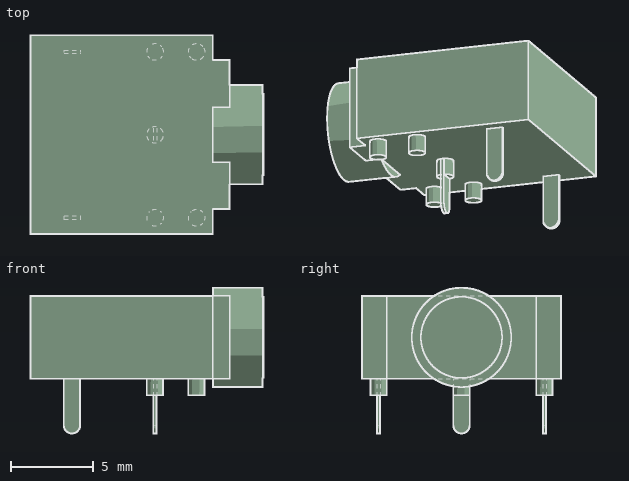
import cadquery as cq

housing_length = 11.0
housing_width = 12.0
housing_height = 5.0
step_length = 1.0
step_width = 9.0

bushing_diameter = 6.0
bushing_length = 3.0
bushing_axis_z = housing_height / 2
lip_diameter = 4.9
lip_length = 0.05

post_diameter = 1.0
post_length = 1.0
blade_width = 1.0
blade_thickness = 0.2
blade_length = 3.3

side_row_y = 5.0
rear_row_x = 2.5
middle_row_x = 7.5
front_row_x = 10.0

post_places = [(middle_row_x, 0)]
for side in (-1, 1):
    post_places.append((middle_row_x, side * side_row_y))
    post_places.append((front_row_x, side * side_row_y))


def make_box(start_x, length, width):
    """Full-height block of the housing, centred on Y."""
    box = cq.Workplane("XY").box(length, width, housing_height, centered=(False, True, False))
    return box.translate((start_x, 0, 0))


def make_disc(start_x, length, diameter):
    """Round length along X on the bushing axis."""
    plane = cq.Workplane("YZ", origin=(start_x, 0, bushing_axis_z))
    return plane.circle(diameter / 2).extrude(length)


def make_blade():
    """Blade across X with a full-round tip, hanging from Z = 0 at the origin."""
    half_width = blade_width / 2
    shoulder_z = half_width - blade_length
    return (
        cq.Workplane("XZ")
        .moveTo(-half_width, 0)
        .lineTo(half_width, 0)
        .lineTo(half_width, shoulder_z)
        .threePointArc((0, -blade_length), (-half_width, shoulder_z))
        .close()
        .extrude(blade_thickness / 2, both=True)
    )


def make_housing():
    """Housing with its bushing, posts and the centre blade below the centre post."""
    bushing_end_x = housing_length + bushing_length
    posts = cq.Workplane("XY").pushPoints(post_places).circle(post_diameter / 2).extrude(-post_length)
    centre_blade = make_blade().rotate((0, 0, 0), (0, 0, 1), 90).translate((middle_row_x, 0, 0))
    return (
        make_box(0, housing_length, housing_width)
        .union(make_box(housing_length, step_length, step_width))
        .union(make_disc(housing_length, bushing_length, bushing_diameter))
        .union(make_disc(bushing_end_x, lip_length, lip_diameter))
        .union(posts)
        .union(centre_blade)
    )


housing = make_housing()

side_terminals = []
for side in (-1, 1):
    terminal = make_blade().translate((rear_row_x, side * side_row_y, 0))
    side_terminals.append(terminal.val())

result = cq.Compound.makeCompound([housing.val(), *side_terminals])